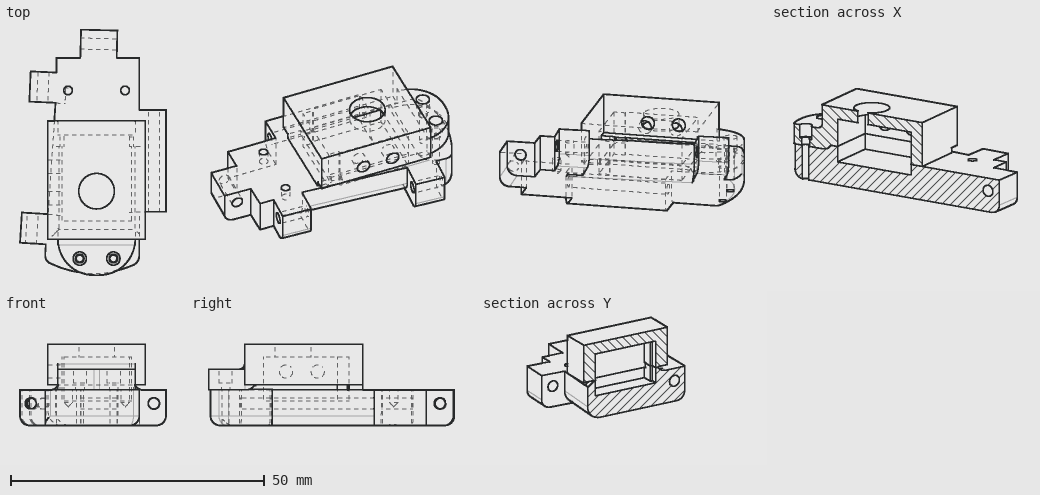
import cadquery as cq
import math

base_height = 7.0
carrier_bottom = 8.05
carrier_top = 16.0

right_wall_x = 8.4
rear_y = 26.25
nose_join_left_y = -4.85
upper_join_y = 20.3
nose_left_y = -13.65
nose_right_y = -14.0
nose_tip_x = -0.73
nose_tip_y = -16.2
nose_left_radius = 1.8
nose_right_radius = 2.05
bottom_radius = 1.95
left_wall_radius = 2.9

left_wall_x = -9.3
left_lean = 3.9

lug_hole_diameter = 2.2
lug_hole_height = 4.35
left_lug_length = 6.0
front_left_lug_corner = (-15.1, -10.15)
front_left_lug_reach = 5.0
front_left_lug_setback = 2.15
front_left_lug_lean = 3.6
rear_left_lug_corner = (-13.25, 17.6)
rear_left_lug_reach = 5.1
rear_left_lug_setback = 2.5
rear_left_lug_lean = 2.5
lug_root = 1.95
right_lug_x = 13.7
right_lug_front_y = -4.05
right_lug_rear_y = 16.0
right_lug_hole_x = 11.25
rear_lug_width = 7.2
rear_lug_x = 0.4
rear_lug_y = 31.75
rear_lug_lean = 1.4
rear_lug_hole_y = 29.0

pilot_diameter = 1.7
pilot_depth = 2.4
pilot_x = 5.6
pilot_y = 19.85

pedestal_half_width = 7.25
pedestal_front_y = -7.25
pedestal_rear_y = 8.8
pedestal_foot_radius = 1.95
post_rear_y = 10.75
pocket_floor = 4.85

carrier_half_width = 9.63
carrier_front_y = -9.5
carrier_rear_y = 13.85
roof_thickness = 2.45
pocket_half_width = 6.85
pocket_front_y = -5.8
narrow_pocket_half_width = 6.45
rear_foot_y = 11.1
access_hole_diameter = 7.0
side_hole_diameter = 2.6
side_hole_ys = (-1.35, 4.9)
side_hole_z = 10.7

tongue_half_width = 7.6
tongue_front_y = -16.55
tongue_top = 11.13
tongue_corner_radius = carrier_front_y - tongue_front_y
tongue_blend_radius = 1.0
screw_spacing = 6.65
screw_x = screw_spacing / 2
screw_y = -13.25
screw_head_diameter = 2.6
screw_clearance_diameter = 1.7
screw_thread_diameter = 1.4
screw_seat_thickness = 1.45


def box(x_min, x_max, y_min, y_max, z_min, z_max):
    return cq.Workplane("XY").box(
        x_max - x_min, y_max - y_min, z_max - z_min, centered=False
    ).translate((x_min, y_min, z_min))


def left_wall(y):
    """X of the leaning left wall at a given Y."""
    return left_wall_x + y * math.tan(math.radians(left_lean))


def screw_holes(diameter, z_min, z_max):
    return (
        cq.Workplane("XY", origin=(0, screw_y, z_min))
        .pushPoints([(-screw_x, 0), (screw_x, 0)])
        .circle(diameter / 2)
        .extrude(z_max - z_min)
    )


def make_nose():
    """Front end of the base: bowed front, rounded lower edge, left wall flat to the bottom."""
    left_corner = (left_wall(nose_left_y), nose_left_y)
    right_corner = (right_wall_x, nose_right_y)
    outline = (
        cq.Workplane("XY")
        .moveTo(left_wall(nose_join_left_y), nose_join_left_y)
        .lineTo(*left_corner)
        .threePointArc((nose_tip_x, nose_tip_y), right_corner)
        .lineTo(right_wall_x, right_lug_front_y)
        .close()
        .extrude(base_height)
    )
    left_edge = cq.NearestToPointSelector((*left_corner, base_height / 2))
    right_edge = cq.NearestToPointSelector((*right_corner, base_height / 2))
    bottom_edge = cq.NearestToPointSelector((nose_tip_x, nose_tip_y, 0))
    left_rounded = outline.edges(left_edge).fillet(nose_left_radius)
    front_rounded = outline.edges(right_edge).fillet(nose_right_radius)
    front_rounded = front_rounded.edges(bottom_edge).fillet(bottom_radius)
    return front_rounded.intersect(left_rounded)


def make_middle():
    """Middle of the base, with a large round under the left wall."""
    middle = (
        cq.Workplane("XY")
        .polyline(
            [
                (left_wall(nose_join_left_y), nose_join_left_y),
                (right_wall_x, right_lug_front_y),
                (right_wall_x, upper_join_y),
                (left_wall(upper_join_y), upper_join_y),
            ]
        )
        .close()
        .extrude(base_height)
    )
    wall_y = (nose_join_left_y + upper_join_y) / 2
    wall_edge = cq.NearestToPointSelector((left_wall(wall_y), wall_y, 0))
    return middle.edges(wall_edge).fillet(left_wall_radius)


def make_rear():
    """Square rear end of the base."""
    wall_x = left_wall(upper_join_y)
    return box(wall_x, right_wall_x, upper_join_y, rear_y, 0, base_height)


def make_left_lug(corner, reach, hole_setback, lean):
    """Lug built from its outer front corner and turned clockwise by lean degrees.

    The hole lies hole_setback in from the outer face, and the lug runs lug_root into the base.
    """
    lug = box(0, reach + lug_root, 0, left_lug_length, 0, base_height)
    lug = lug.faces("<X").edges("<Z").fillet(bottom_radius)
    hole = (
        cq.Workplane("XZ", origin=(hole_setback, 0, lug_hole_height))
        .circle(lug_hole_diameter / 2)
        .extrude(-left_lug_length)
    )
    return lug.cut(hole).rotate((0, 0, 0), (0, 0, 1), -lean).translate((*corner, 0))


def make_right_lug():
    lug = box(right_wall_x, right_lug_x, right_lug_front_y, right_lug_rear_y, 0, base_height)
    lug = lug.faces(">X").edges("<Z").fillet(bottom_radius)
    hole = (
        cq.Workplane("XZ", origin=(right_lug_hole_x, right_lug_front_y, lug_hole_height))
        .circle(lug_hole_diameter / 2)
        .extrude(right_lug_front_y - right_lug_rear_y)
    )
    return lug.cut(hole)


def make_rear_lug():
    half_width = rear_lug_width / 2
    lug = box(-half_width, half_width, rear_y - lug_root, rear_lug_y, 0, base_height)
    lug = lug.faces(">Y").edges("<Z").fillet(bottom_radius)
    hole = (
        cq.Workplane("YZ", origin=(-half_width, rear_lug_hole_y, lug_hole_height))
        .circle(lug_hole_diameter / 2)
        .extrude(rear_lug_width)
    )
    return lug.cut(hole).rotate((0, rear_y, 0), (0, rear_y, 1), -rear_lug_lean).translate(
        (rear_lug_x, 0, 0)
    )


def make_pilot_holes():
    radius = pilot_diameter / 2
    drill = (
        cq.Workplane("XZ")
        .polyline(
            [(0, 0), (radius, 0), (radius, -pilot_depth), (0, -pilot_depth - radius)]
        )
        .close()
        .revolve(360, (0, 0, 0), (0, 1, 0))
    )
    left = drill.translate((-pilot_x, pilot_y, base_height))
    return left.union(drill.translate((pilot_x, pilot_y, base_height)))


def make_pocket(z_min, z_max):
    """Cavity shared by the pedestal and the carrier, narrower at the rear."""
    wide = box(-pocket_half_width, pocket_half_width, pocket_front_y, pedestal_rear_y, z_min, z_max)
    narrow = box(
        -narrow_pocket_half_width, narrow_pocket_half_width, pedestal_rear_y, rear_foot_y, z_min, z_max
    )
    return wide.union(narrow)


def make_flare():
    """Pedestal shape with concave sides that meet the base top tangentially."""
    r = pedestal_foot_radius
    mid = r * (1 - math.sqrt(0.5))
    pedestal_length = pedestal_rear_y - pedestal_front_y
    side_profile = (
        cq.Workplane("XZ", origin=(0, pedestal_rear_y, base_height))
        .moveTo(-pedestal_half_width - r, 0)
        .threePointArc((-pedestal_half_width - mid, mid), (-pedestal_half_width, r))
        .lineTo(pedestal_half_width, r)
        .threePointArc((pedestal_half_width + mid, mid), (pedestal_half_width + r, 0))
        .close()
        .extrude(pedestal_length + r)
    )
    front_profile = (
        cq.Workplane("YZ", origin=(-pedestal_half_width - r, 0, base_height))
        .moveTo(pedestal_front_y - r, 0)
        .threePointArc((pedestal_front_y - mid, mid), (pedestal_front_y, r))
        .lineTo(pedestal_rear_y, r)
        .lineTo(pedestal_rear_y, 0)
        .close()
        .extrude(2 * (pedestal_half_width + r))
    )
    return side_profile.intersect(front_profile)


def add_pedestal(plate):
    """Add the hollow pedestal, trimmed to the base outline and to the carrier underside."""
    posts = box(
        -pedestal_half_width, pedestal_half_width, pedestal_rear_y, post_rear_y, base_height, carrier_bottom
    )
    outline = plate.faces(">Z").wires().toPending().extrude(carrier_bottom - base_height, combine=False)
    raised = make_flare().union(posts).intersect(outline)
    return plate.union(raised).cut(make_pocket(pocket_floor, carrier_bottom))


def make_base():
    rear_left_lug = make_left_lug(
        rear_left_lug_corner, rear_left_lug_reach, rear_left_lug_setback, rear_left_lug_lean
    )
    front_left_lug = make_left_lug(
        front_left_lug_corner, front_left_lug_reach, front_left_lug_setback, front_left_lug_lean
    )
    base = make_nose().union(make_middle()).union(make_rear())
    base = base.union(rear_left_lug).union(front_left_lug)
    base = base.union(make_right_lug()).union(make_rear_lug())
    base = base.cut(make_pilot_holes())
    base = base.cut(screw_holes(screw_thread_diameter, 0, base_height))
    return add_pedestal(base)


def make_tongue():
    """Rounded tongue standing on the base top and reaching out from under the carrier."""
    tongue = box(
        -tongue_half_width, tongue_half_width, tongue_front_y, pedestal_front_y, base_height, tongue_top
    )
    return tongue.edges("|Z and <Y").fillet(tongue_corner_radius)


def make_tongue_blend():
    """Concave blend from the tongue top up to the carrier front."""
    r = tongue_blend_radius
    mid = r * (1 - math.sqrt(0.5))
    return (
        cq.Workplane("YZ", origin=(-tongue_half_width, carrier_front_y, tongue_top))
        .lineTo(-r, 0)
        .threePointArc((-mid, mid), (0, r))
        .close()
        .extrude(2 * tongue_half_width)
    )


def make_carrier(base):
    carrier = box(
        -carrier_half_width, carrier_half_width, carrier_front_y, carrier_rear_y, carrier_bottom, carrier_top
    )
    rear_foot = box(
        -tongue_half_width, tongue_half_width, rear_foot_y, carrier_rear_y, base_height, carrier_bottom
    )
    carrier = carrier.union(make_tongue()).union(make_tongue_blend()).union(rear_foot)
    carrier = carrier.cut(make_pocket(base_height, carrier_top - roof_thickness))
    access_hole = (
        cq.Workplane("XY", origin=(0, 0, carrier_bottom))
        .circle(access_hole_diameter / 2)
        .extrude(carrier_top - carrier_bottom)
    )
    side_holes = (
        cq.Workplane("YZ", origin=(-carrier_half_width, 0, side_hole_z))
        .pushPoints([(y, 0) for y in side_hole_ys])
        .circle(side_hole_diameter / 2)
        .extrude(carrier_half_width)
    )
    carrier = carrier.cut(access_hole).cut(side_holes)
    carrier = carrier.cut(screw_holes(screw_clearance_diameter, base_height, tongue_top))
    carrier = carrier.cut(screw_holes(screw_head_diameter, base_height + screw_seat_thickness, tongue_top))
    return carrier.cut(base)


base = make_base()
carrier = make_carrier(base)

result = cq.Compound.makeCompound([base.val(), carrier.val()])